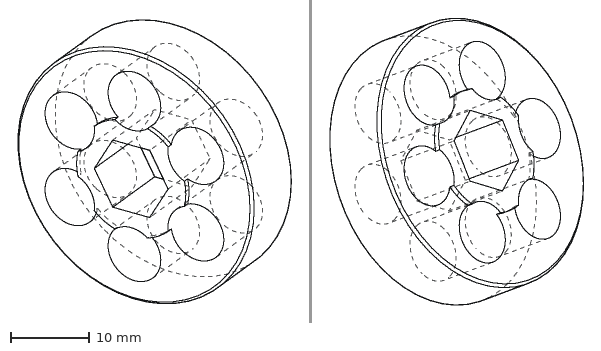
import cadquery as cq

disc_diameter = 35.55
total_depth = 10.17
boss_height = 0.8
boss_diameter = 16.43
rim_chamfer = 0.4
hole_count = 6
hole_diameter = 7.93
hole_circle_radius = 10.95
first_hole_angle = 90
hex_sides = 6
hex_corner_diameter = 11.1

disc_depth = total_depth - boss_height

disc = (
    cq.Workplane("XZ")
    .circle(disc_diameter / 2)
    .extrude(disc_depth)
    .faces("<Y")
    .chamfer(rim_chamfer)
)

boss = cq.Workplane("XZ").circle(boss_diameter / 2).extrude(total_depth)

holes = (
    cq.Workplane("XZ")
    .polarArray(hole_circle_radius, first_hole_angle, 360, hole_count)
    .circle(hole_diameter / 2)
    .extrude(total_depth)
)

hex_bore = cq.Workplane("XZ").polygon(hex_sides, hex_corner_diameter).extrude(total_depth)

result = disc.union(boss).cut(holes).cut(hex_bore)